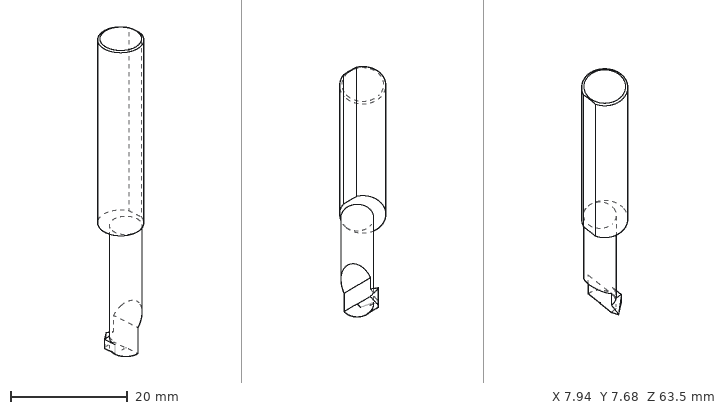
import cadquery as cq
import math

overall_length = 63.5
shank_length = 38.1
shank_diameter = 7.94
shank_flat_depth = 0.26
shank_chamfer_width = 0.4
shank_chamfer_height = 0.2

neck_diameter = 5.62
neck_end_height = 0.13
rake_face_height = 5.5

tip_x = -3.33
tip_height = 1.1
tip_land = 0.2
head_height = 2.4
flank_half_angle = 30.0
relief_angle = 5.0
end_angle = 1.0
heel_x = -1.27

shank_radius = shank_diameter / 2
neck_radius = neck_diameter / 2
neck_x = shank_radius - neck_radius
shank_bottom = overall_length - shank_length


def make_shank():
    """Round shank with a chamfered top and a full-length flat on the +Y side."""
    shank = cq.Workplane("XY").workplane(offset=shank_bottom).circle(shank_radius).extrude(shank_length)
    shank = shank.faces(">Z").chamfer(shank_chamfer_height, shank_chamfer_width)
    flat_cutter = (
        cq.Workplane("XY")
        .box(shank_diameter, shank_diameter, overall_length, centered=(True, False, False))
        .translate((0, shank_radius - shank_flat_depth, 0))
    )
    return shank.cut(flat_cutter)


def make_neck():
    """Round neck, cut to half its section near the tip with a 45 degree runout."""
    neck = (
        cq.Workplane("XY")
        .workplane(offset=neck_end_height)
        .center(neck_x, 0)
        .circle(neck_radius)
        .extrude(shank_bottom - neck_end_height)
    )
    relief = (
        cq.Workplane("YZ")
        .moveTo(0, 0)
        .lineTo(0, rake_face_height)
        .lineTo(neck_diameter, rake_face_height + neck_diameter)
        .lineTo(neck_diameter, 0)
        .close()
        .extrude(shank_diameter, both=True)
    )
    return neck.cut(relief)


def make_head():
    """Pointed V-shaped head: tapered for clearance, with a slanted side relief."""
    slope = math.tan(math.radians(flank_half_angle))
    vertex_x = tip_x - tip_land / 2 / slope
    lower_x = vertex_x + tip_height / slope
    upper_x = vertex_x + (head_height - tip_height) / slope
    profile_end_x = neck_x + neck_radius
    end_rise = (profile_end_x - lower_x) * math.tan(math.radians(end_angle))
    profile = (
        cq.Workplane("XZ")
        .moveTo(vertex_x, tip_height)
        .lineTo(lower_x, 0)
        .lineTo(profile_end_x, end_rise)
        .lineTo(profile_end_x, head_height)
        .lineTo(upper_x, head_height)
        .close()
        .extrude(neck_radius, taper=relief_angle)
    )
    plan = (
        cq.Workplane("XY")
        .moveTo(tip_x, 0)
        .lineTo(neck_x, 0)
        .lineTo(neck_x, -neck_radius)
        .lineTo(heel_x, -neck_radius)
        .close()
        .extrude(head_height)
    )
    return profile.intersect(plan)


result = make_shank().union(make_neck()).union(make_head())